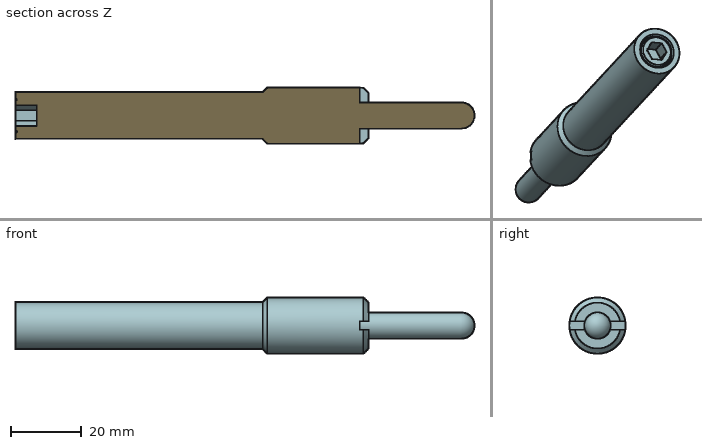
import cadquery as cq
import math

total_length = 130.0
shank_diameter = 13.4
collar_diameter = 16.0
pin_diameter = 7.5
collar_start = 70.0
collar_end = 100.0
collar_chamfer = 1.5

slot_width = 2.5
slot_depth = 2.5

thread_diameter = 10.0
screw_tip_diameter = 8.16
hex_across_flats = 5.0
hex_depth = 6.0


def make_body():
    """Revolve the shank, collar and round-nosed pin as one profile."""
    shank_radius = shank_diameter / 2
    collar_radius = collar_diameter / 2
    pin_radius = pin_diameter / 2
    shoulder_height = collar_radius - shank_radius
    nose_start = total_length - pin_radius
    nose_diagonal = pin_radius * math.sqrt(0.5)
    profile = (
        cq.Workplane("XY")
        .lineTo(0, shank_radius)
        .lineTo(collar_start, shank_radius)
        .lineTo(collar_start + shoulder_height, collar_radius)
        .lineTo(collar_end - collar_chamfer, collar_radius)
        .lineTo(collar_end, collar_radius - collar_chamfer)
        .lineTo(collar_end, pin_radius)
        .lineTo(nose_start, pin_radius)
        .threePointArc((nose_start + nose_diagonal, nose_diagonal), (total_length, 0))
        .close()
    )
    return profile.revolve(360, (0, 0, 0), (1, 0, 0))


def make_slot():
    """Slot along Y through the collar face, leaving the pin whole."""
    pin = cq.Workplane("YZ").circle(pin_diameter / 2).extrude(total_length)
    blank = cq.Workplane("XY").box(slot_depth, collar_diameter, slot_width)
    return blank.translate((collar_end - slot_depth / 2, 0, 0)).cut(pin)


def make_screw_groove():
    """45 degree V groove between the bore countersink and the screw chamfer."""
    outer_radius = thread_diameter / 2
    inner_radius = screw_tip_diameter / 2
    root_radius = (outer_radius + inner_radius) / 2
    groove_depth = outer_radius - root_radius
    profile = (
        cq.Workplane("XY")
        .moveTo(0, inner_radius)
        .lineTo(0, outer_radius)
        .lineTo(groove_depth, root_radius)
        .close()
    )
    return profile.revolve(360, (0, 0, 0), (1, 0, 0))


def make_hex_socket():
    """Hexagonal key socket in the set screw, with two flats level in Z."""
    corner_diameter = hex_across_flats / math.cos(math.pi / 6)
    return cq.Workplane("YZ").polygon(6, corner_diameter).extrude(hex_depth)


result = make_body().cut(make_slot()).cut(make_screw_groove()).cut(make_hex_socket())